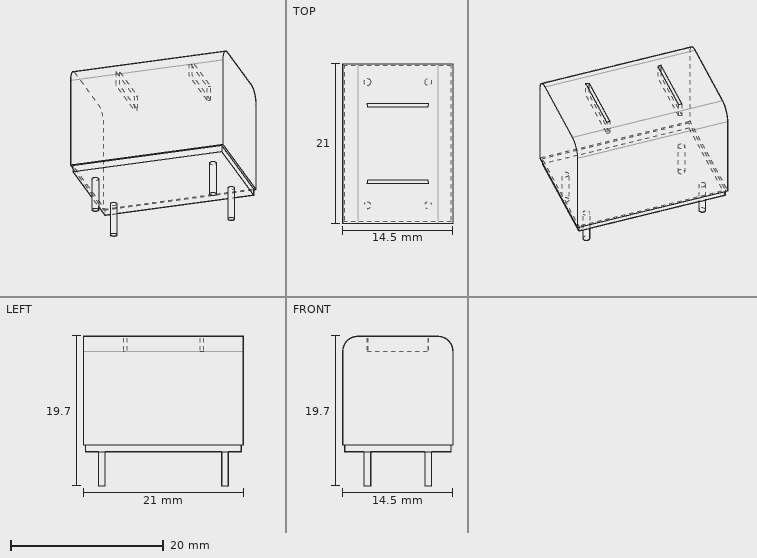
import cadquery as cq

body_length_x = 14.5
body_length_y = 21.0
total_height = 19.7

pin_diameter = 0.9
pin_length = 4.5
pin_spacing_x = 8.0
pin_spacing_y = 16.2

base_height = 0.9
base_inset = 0.25

body_height = total_height - pin_length - base_height
top_edge_radius = 2.0

slot_outer_length = 8.1
slot_inner_length = 7.9
slot_outer_y = 5.25
slot_width = 0.45
slot_depth = 2.0


def make_housing():
    """Block with its two long top edges rounded."""
    block = (
        cq.Workplane("XY")
        .workplane(offset=base_height)
        .rect(body_length_x, body_length_y)
        .extrude(body_height)
    )
    return block.edges("|Y and >Z").fillet(top_edge_radius)


def make_base():
    """Plate under the housing that carries the pins."""
    return (
        cq.Workplane("XY")
        .rect(body_length_x - 2 * base_inset, body_length_y - 2 * base_inset)
        .extrude(base_height)
    )


def make_pins():
    """Four round pins hanging down from the base plate."""
    return (
        cq.Workplane("XY")
        .rect(pin_spacing_x, pin_spacing_y, forConstruction=True)
        .vertices()
        .circle(pin_diameter / 2)
        .extrude(-pin_length)
    )


def make_slot(side):
    """Slot cutter on one Y side (+1 or -1), slightly longer along its outer edge."""
    outer_y = side * slot_outer_y
    inner_y = side * (slot_outer_y - slot_width)
    corners = [
        (-slot_outer_length / 2, outer_y),
        (slot_outer_length / 2, outer_y),
        (slot_inner_length / 2, inner_y),
        (-slot_inner_length / 2, inner_y),
    ]
    return (
        cq.Workplane("XY")
        .workplane(offset=base_height + body_height)
        .polyline(corners)
        .close()
        .extrude(-slot_depth)
    )


result = make_housing().union(make_base()).union(make_pins())
for slot_side in (1, -1):
    result = result.cut(make_slot(slot_side))